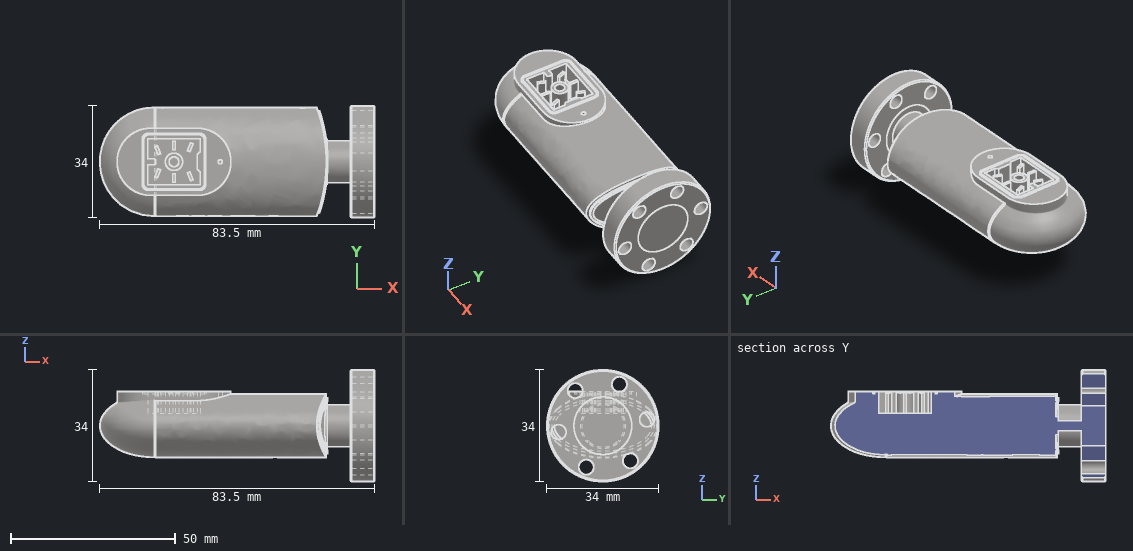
import cadquery as cq


NOSE_LENGTH = 16.5
NOSE_HALF_HEIGHT = 9.6
BARREL_HALF_WIDTH = 16.5
BARREL_HALF_HEIGHT = 9.7
BARREL_END_X = 68.7
GROOVE_WIDTH = 0.5
GROOVE_DEPTH = 0.25

END_SAGITTA = 2.9
LIP_HALF_WIDTH = 15.5
LIP_HALF_HEIGHT = 8.4
LIP_THICKNESS = 0.8
LIP_RISE = 0.5

PAD_TOP_Z = 10.4
PAD_LENGTH = 34.6
PAD_WIDTH = 20.4
PAD_CENTER_X = 22.55
PAD_FILLET = 0.3
SEAL_LENGTH = 19.4
SEAL_WIDTH = 17.4
SEAL_CORNER_RADIUS = 2.0
SEAL_GROOVE_WIDTH = 0.5
SEAL_GROOVE_DEPTH = 0.7
PIN_HOLE_OFFSET = 14.0
PIN_HOLE_DIAMETER = 1.25
PIN_HOLE_DEPTH = 1.7

SOCKET_LENGTH = 15.9
SOCKET_WIDTH = 13.9
SOCKET_DEPTH = 6.6
KEY_LENGTH = 2.3
KEY_WIDTH = 1.75
KEY_CORNER_RADIUS = 0.4
RIB_HEIGHT = 0.8
RIB_BASE_WIDTH = 6.2
RIB_TIP_WIDTH = 4.5
POST_DIAMETER = 5.3
POST_BORE = 3.0
CONTACT_RECESS = 0.5
BLADE_LENGTH = 2.6
BLADE_THICKNESS = 0.8
MIDDLE_BLADE_Y = 4.9
OUTER_BLADE_X = 4.9
REAR_BLADE_Y = 4.4
FRONT_BLADE_Y = 3.5
BLADE_TILT = 22.0

STEM_DIAMETER = 12.9
COLLAR_DIAMETER = 13.7
COLLAR_END_X = 69.05
HUB_DIAMETER = 17.5
FLANGE_DIAMETER = 34.0
FLANGE_FRONT_X = 76.0
FLANGE_BACK_X = 83.5
FLANGE_CHAMFER = 0.4
BOLT_COUNT = 6
BOLT_CIRCLE_DIAMETER = 27.05
BOLT_HOLE_DIAMETER = 4.5
FLANGE_TURN = 8.2

BARREL_START_X = NOSE_LENGTH + GROOVE_WIDTH
END_RADIUS = (BARREL_HALF_WIDTH**2 + END_SAGITTA**2) / (2 * END_SAGITTA)
END_AXIS_X = BARREL_END_X - END_RADIUS
SOCKET_FLOOR_Z = PAD_TOP_Z - SOCKET_DEPTH
CONTACT_HEIGHT = SOCKET_DEPTH - CONTACT_RECESS


def elliptic_bar(start_x, end_x, half_width, half_height):
    """Bar of elliptical section along X."""
    section = cq.Workplane("YZ", origin=(start_x, 0, 0)).ellipse(half_width, half_height)
    return section.extrude(end_x - start_x)


def bowed_bar(start_x, half_width, half_height, rise):
    """Elliptical bar whose far end is bowed about a vertical axis, `rise` beyond the barrel end."""
    bar = elliptic_bar(start_x, BARREL_END_X + rise, half_width, half_height)
    bow = (
        cq.Workplane("XY", origin=(END_AXIS_X, 0, -BARREL_HALF_HEIGHT))
        .circle(END_RADIUS + rise)
        .extrude(2 * BARREL_HALF_HEIGHT)
    )
    return bar.intersect(bow)


def make_pad():
    """Stadium-shaped pad, reaching down to the housing axis."""
    return (
        cq.Workplane("XY", origin=(PAD_CENTER_X, 0, 0))
        .slot2D(PAD_LENGTH, PAD_WIDTH)
        .extrude(PAD_TOP_Z)
    )


def make_nose():
    """Half of a spheroid about Z, with the front of the pad blended into it."""
    half_ellipse = (
        cq.Workplane("XZ", origin=(NOSE_LENGTH, 0, 0))
        .moveTo(0, -NOSE_HALF_HEIGHT)
        .ellipseArc(NOSE_LENGTH, NOSE_HALF_HEIGHT, -90, 90, startAtCurrent=True)
        .close()
    )
    spheroid = half_ellipse.revolve(360, (0, 0, 0), (0, 1, 0))
    front = cq.Workplane("XY").box(
        NOSE_LENGTH, 2 * NOSE_LENGTH, 2 * PAD_TOP_Z, centered=(False, True, True)
    )
    nose = spheroid.union(make_pad()).intersect(front)
    blend_zone = cq.selectors.BoxSelector(
        (0, -PAD_WIDTH, SOCKET_FLOOR_Z),
        (NOSE_LENGTH - GROOVE_DEPTH, PAD_WIDTH, NOSE_HALF_HEIGHT),
    )
    return nose.edges(blend_zone).edges("not |Z").fillet(PAD_FILLET)


def make_barrel():
    """Barrel with the groove behind the nose and the lip on its bowed end."""
    neck = elliptic_bar(
        NOSE_LENGTH,
        BARREL_START_X,
        BARREL_HALF_WIDTH - GROOVE_DEPTH,
        BARREL_HALF_HEIGHT - GROOVE_DEPTH,
    )
    barrel = bowed_bar(BARREL_START_X, BARREL_HALF_WIDTH, BARREL_HALF_HEIGHT, 0)
    middle_x = (BARREL_START_X + BARREL_END_X) / 2
    lip = bowed_bar(middle_x, LIP_HALF_WIDTH, LIP_HALF_HEIGHT, LIP_RISE)
    opening_half_width = LIP_HALF_WIDTH - LIP_THICKNESS
    opening_half_height = LIP_HALF_HEIGHT - LIP_THICKNESS
    lip = lip.cut(elliptic_bar(middle_x, FLANGE_BACK_X, opening_half_width, opening_half_height))
    return neck.union(barrel).union(lip)


def round_bar(start_x, end_x, diameter):
    """Cylinder about the main axis."""
    return cq.Workplane("YZ", origin=(start_x, 0, 0)).circle(diameter / 2).extrude(end_x - start_x)


def make_stem_and_hub():
    """Stem from inside the barrel to the flange back, with its collar and the hub that fills the ring."""
    root_x = BARREL_END_X - 2 * END_SAGITTA
    stem = round_bar(root_x, FLANGE_BACK_X, STEM_DIAMETER)
    collar = round_bar(root_x, COLLAR_END_X, COLLAR_DIAMETER)
    hub = round_bar(FLANGE_FRONT_X, FLANGE_BACK_X, HUB_DIAMETER)
    return stem.union(collar).union(hub)


def make_seal_groove():
    """Rounded rectangular groove around the socket."""
    top = cq.Workplane("XY", origin=(PAD_CENTER_X, 0, PAD_TOP_Z))
    outer = top.rect(SEAL_LENGTH, SEAL_WIDTH).extrude(-SEAL_GROOVE_DEPTH)
    outer = outer.edges("|Z").fillet(SEAL_CORNER_RADIUS)
    inner = top.rect(
        SEAL_LENGTH - 2 * SEAL_GROOVE_WIDTH, SEAL_WIDTH - 2 * SEAL_GROOVE_WIDTH
    ).extrude(-SEAL_GROOVE_DEPTH)
    inner = inner.edges("|Z").fillet(SEAL_CORNER_RADIUS - SEAL_GROOVE_WIDTH)
    return outer.cut(inner)


def make_socket():
    """Socket cavity with the key on its front wall and the rib on its rear wall left standing."""
    floor = cq.Workplane("XY", origin=(PAD_CENTER_X, 0, SOCKET_FLOOR_Z))
    half_length = SOCKET_LENGTH / 2
    cavity = floor.rect(SOCKET_LENGTH, SOCKET_WIDTH).extrude(SOCKET_DEPTH)
    key = floor.center(KEY_LENGTH / 2 - half_length, 0).rect(KEY_LENGTH, KEY_WIDTH).extrude(SOCKET_DEPTH)
    key = key.edges("|Z and >X").fillet(KEY_CORNER_RADIUS)
    rib = (
        floor.moveTo(half_length, -RIB_BASE_WIDTH / 2)
        .lineTo(half_length - RIB_HEIGHT, -RIB_TIP_WIDTH / 2)
        .lineTo(half_length - RIB_HEIGHT, RIB_TIP_WIDTH / 2)
        .lineTo(half_length, RIB_BASE_WIDTH / 2)
        .close()
        .extrude(SOCKET_DEPTH)
    )
    return cavity.cut(key).cut(rib)


def make_blade(x, y, angle):
    """Contact blade at (x, y) from the socket centre, its length turned `angle` from X."""
    return (
        cq.Workplane("XY", origin=(PAD_CENTER_X + x, y, SOCKET_FLOOR_Z))
        .transformed(rotate=(0, 0, angle))
        .rect(BLADE_LENGTH, BLADE_THICKNESS)
        .extrude(CONTACT_HEIGHT)
    )


def add_contacts(housing):
    """Hollow post in the socket centre and three blades on each side of it."""
    post = (
        cq.Workplane("XY", origin=(PAD_CENTER_X, 0, SOCKET_FLOOR_Z))
        .circle(POST_DIAMETER / 2)
        .circle(POST_BORE / 2)
        .extrude(CONTACT_HEIGHT)
    )
    housing = housing.union(post)
    for side in (1, -1):
        housing = housing.union(make_blade(0, side * MIDDLE_BLADE_Y, 90))
        housing = housing.union(
            make_blade(OUTER_BLADE_X, side * REAR_BLADE_Y, side * (90 - BLADE_TILT))
        )
        housing = housing.union(
            make_blade(-OUTER_BLADE_X, side * FRONT_BLADE_Y, side * (90 + BLADE_TILT))
        )
    return housing


def make_housing():
    """Sensor housing: nose, barrel, pad with socket, stem and hub in one solid."""
    housing = make_nose().union(make_barrel()).union(make_pad()).union(make_stem_and_hub())
    pin_hole = (
        cq.Workplane("XY", origin=(PAD_CENTER_X + PIN_HOLE_OFFSET, 0, PAD_TOP_Z))
        .circle(PIN_HOLE_DIAMETER / 2)
        .extrude(-PIN_HOLE_DEPTH)
    )
    housing = housing.cut(make_seal_groove()).cut(pin_hole).cut(make_socket())
    return add_contacts(housing)


def make_flange_ring():
    """Rotatable bolt ring around the hub, turned slightly about the main axis."""
    ring = round_bar(FLANGE_FRONT_X, FLANGE_BACK_X, FLANGE_DIAMETER).edges().chamfer(FLANGE_CHAMFER)
    bore = round_bar(FLANGE_FRONT_X, FLANGE_BACK_X, HUB_DIAMETER)
    bolt_holes = (
        cq.Workplane("YZ", origin=(FLANGE_FRONT_X, 0, 0))
        .polarArray(BOLT_CIRCLE_DIAMETER / 2, FLANGE_TURN, 360, BOLT_COUNT)
        .circle(BOLT_HOLE_DIAMETER / 2)
        .extrude(FLANGE_BACK_X - FLANGE_FRONT_X)
    )
    return ring.cut(bore).cut(bolt_holes)


housing = make_housing()
flange_ring = make_flange_ring()

result = cq.Compound.makeCompound([housing.val(), flange_ring.val()])